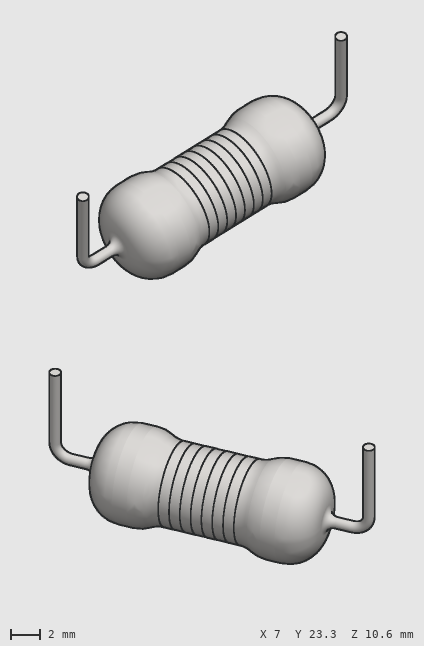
import cadquery as cq
import math


body_length = 16.45
cap_radius = 7.0 / 2
dome_radius = 2.4
cap_flat_length = 1.05
waist_radius = 5.95 / 2

band_radius = 5.97 / 2
band_count = 4
band_width = 0.775

lead_radius = 0.8 / 2
lead_bend_radius = 1.17
lead_span = 23.3
lead_top = 7.1

body_end = body_length / 2
dome_start = body_end - dome_radius
shoulder_start = dome_start - cap_flat_length
band_pitch = 2 * band_width
waist_half_length = (band_count * band_pitch - band_width) / 2

flare_outer_radius = cap_radius - dome_radius
flare_radius = flare_outer_radius - lead_radius
flare_end = body_end + flare_radius

shoulder_half_length = (shoulder_start - waist_half_length) / 2
shoulder_half_drop = (cap_radius - waist_radius) / 2
shoulder_arc_radius = (shoulder_half_length**2 + shoulder_half_drop**2) / (2 * shoulder_half_drop)


def point_on_arc(center, radius, degrees):
    """Point on an arc, given its center (radius from axis, station) and an angle."""
    angle = math.radians(degrees)
    return (center[0] + radius * math.cos(angle), center[1] + radius * math.sin(angle))


def make_cap():
    """Revolved +Y end of the body, from the end of the waist to the end of the lead flare."""
    half_turn = math.degrees(math.asin(shoulder_half_length / shoulder_arc_radius)) / 2
    waist_arc_center = (waist_radius + shoulder_arc_radius, waist_half_length)
    cap_arc_center = (cap_radius - shoulder_arc_radius, shoulder_start)
    waist_arc_middle = point_on_arc(waist_arc_center, shoulder_arc_radius, 180 - half_turn)
    cap_arc_middle = point_on_arc(cap_arc_center, shoulder_arc_radius, -half_turn)
    dome_center = (flare_outer_radius, dome_start)
    flare_center = (flare_outer_radius, flare_end)
    shoulder_middle = (waist_radius + shoulder_half_drop, waist_half_length + shoulder_half_length)
    profile = (
        cq.Workplane("XY")
        .moveTo(0, waist_half_length)
        .lineTo(waist_radius, waist_half_length)
        .threePointArc(waist_arc_middle, shoulder_middle)
        .threePointArc(cap_arc_middle, (cap_radius, shoulder_start))
        .lineTo(cap_radius, dome_start)
        .threePointArc(point_on_arc(dome_center, dome_radius, 45), (flare_outer_radius, body_end))
        .threePointArc(point_on_arc(flare_center, flare_radius, 225), (lead_radius, flare_end))
        .lineTo(0, flare_end)
        .close()
    )
    return profile.revolve(360, (0, 0, 0), (0, 1, 0))


def make_waist():
    """Plain waist with raised bands spread evenly from one end to the other."""
    waist = cq.Workplane("XZ").circle(waist_radius).extrude(waist_half_length, both=True)
    for index in range(band_count):
        band_start = -waist_half_length + index * band_pitch
        band = cq.Workplane("XZ", origin=(0, band_start, 0)).circle(band_radius).extrude(-band_width)
        waist = waist.union(band)
    return waist


def make_lead():
    """Round wire leaving the +Y end of the body and bending up to +Z."""
    leg_y = lead_span / 2 - lead_radius
    bend_start = leg_y - lead_bend_radius
    bend_center = (bend_start, lead_bend_radius)
    path = (
        cq.Workplane("YZ")
        .moveTo(flare_end, 0)
        .lineTo(bend_start, 0)
        .threePointArc(point_on_arc(bend_center, lead_bend_radius, -45), (leg_y, lead_bend_radius))
        .lineTo(leg_y, lead_top)
    )
    return cq.Workplane("XZ", origin=(0, flare_end, 0)).circle(lead_radius).sweep(path)


end = make_cap().union(make_lead())
result = make_waist().union(end).union(end.mirror("XZ"))